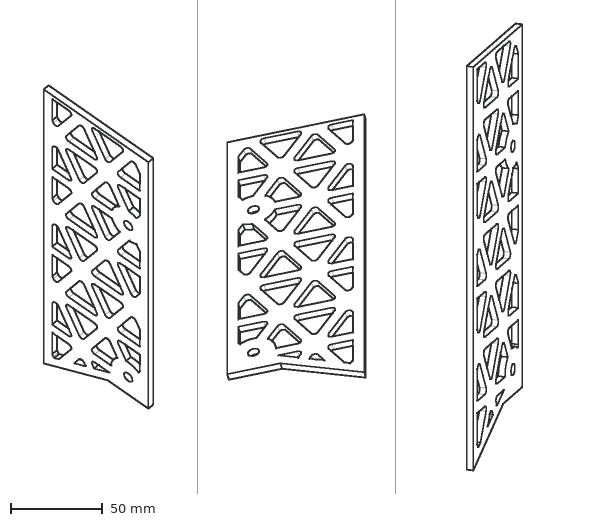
import cadquery as cq
import math

width = 77.0
thickness = 4.0
height = 232.0
bottom_edge_z = 23.5
slope_end_x = 47.0

cell_side = 38.0
cell_height = cell_side * math.sqrt(3) / 2
rib_width = 7.0
corner_radius = 2.0
first_cell_x = 8.8
grid_rise = 0.2
row_count = 7
column_count = 4
border = 6.3

hole_diameter = 6.3
pad_radius = 12.5
hole_x = 62.2
hole_heights = (38.3, 166.5)


def prism(points):
    """Extrude an XZ outline through the plate thickness."""
    return cq.Workplane("XZ").polyline(points).close().extrude(-thickness)


def round_posts(radius):
    """Cylinders through the plate at every screw hole."""
    centres = [(hole_x, z) for z in hole_heights]
    return cq.Workplane("XZ").pushPoints(centres).circle(radius).extrude(-thickness)


def rounded_cell(center_x, row_top_z, points_up):
    """Rounded triangular opening, inset half a rib width from its grid cell."""
    inradius = cell_height / 3 - rib_width / 2
    half_side = inradius * math.sqrt(3)
    direction = 1 if points_up else -1
    base_z = row_top_z - rib_width / 2
    if points_up:
        base_z = row_top_z - cell_height + rib_width / 2
    triangle = prism([
        (center_x - half_side, base_z),
        (center_x + half_side, base_z),
        (center_x, base_z + direction * 3 * inradius),
    ])
    return triangle.edges("|Y").fillet(corner_radius)


def opening_window():
    """Area in which openings are allowed; its bottom runs parallel to the sloping edge."""
    slope = bottom_edge_z / slope_end_x
    border_rise = border * math.hypot(1, slope)
    left = border
    right = width - border
    return prism([
        (left, slope * left + border_rise),
        (right, slope * right + border_rise),
        (right, height),
        (left, height),
    ])


def grid_openings():
    """All cells, alternating up and down, trimmed to the window and around the pads."""
    cells = cq.Workplane("XZ")
    for row in range(row_count):
        row_top_z = height + grid_rise - row * cell_height
        for column in range(column_count):
            center_x = first_cell_x + column * cell_side / 2
            points_up = (row + column) % 2 == 1
            cells = cells.add(rounded_cell(center_x, row_top_z, points_up))
    cells = cells.combine()
    return cells.intersect(opening_window()).cut(round_posts(pad_radius))


plate = prism([
    (0, 0),
    (slope_end_x, bottom_edge_z),
    (width, bottom_edge_z),
    (width, height),
    (0, height),
])

result = plate.cut(grid_openings()).cut(round_posts(hole_diameter / 2))